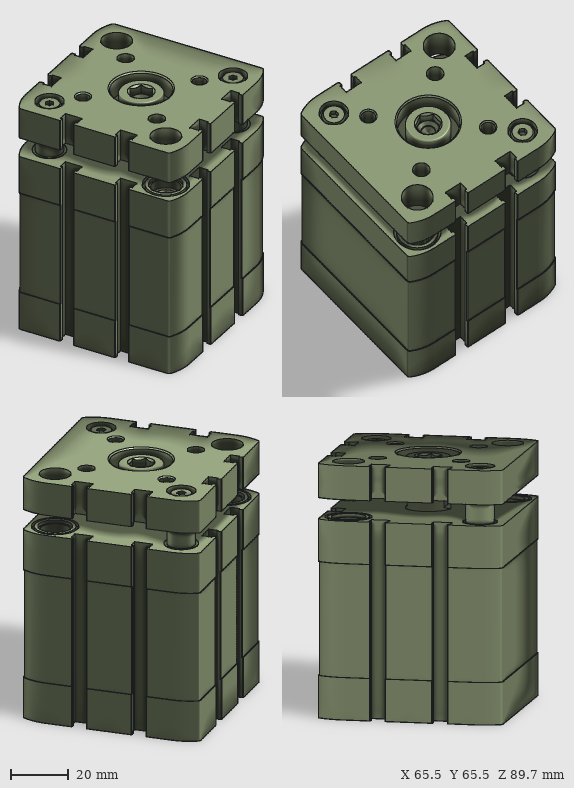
import cadquery as cq
import math

height = 89.7
plate_thickness = 12.0
housing_height = 70.15
cap_height = 15.0
plate_bottom = height - plate_thickness

side = 65.5
flat_half = 23.3
flank_radius = 17.9
corner_radius = 1.35
middle_corner_radius = 0.8
middle_inset = 0.31

slot_offset = 11.0
slot_mouth = 5.2
slot_width = 6.6
slot_depth = 5.0
lip_depth = 1.6
lip_chamfer = 0.3

corner_offset = 23.3
guide_diameter = 10.0
guide_seal_diameter = 12.0
guide_seal_depth = 0.2
access_diameter = 11.0
screw_recess_diameter = 10.2
screw_recess_depth = 2.7
screw_head_diameter = 8.5
screw_head_drop = 0.8
screw_head_top_diameter = 7.4
screw_head_taper = 0.9
screw_hex_diameter = 3.2
screw_hex_depth = 2.2
mount_diameter = 6.6
mount_countersink = 7.9
mount_step_diameter = 12.0
mount_step_depth = 1.2
mount_recess_diameter = 10.6
mount_recess_depth = 4.7
mount_groove_outer = 16.4
mount_groove_inner = 14.5
mount_groove_depth = 1.35

fixing_offset = 14.8
fixing_diameter = 6.0
thread_diameter = 5.0

rod_diameter = 16.0
rod_drop = 1.2
rod_fillet = 0.9
rod_insertion = cap_height
flats_width = 13.0
flats_bottom = 71.2
runout_height = 0.9
plate_recess_diameter = 22.0
plate_recess_depth = 7.4
plate_recess_chamfer = 0.5
socket_mouth = 9.6
socket_flats = 8.0
socket_depth = 3.6
drill_diameter = 5.0
drill_depth = 0.45
drill_angle = 30.0
drill_slope = math.tan(math.radians(drill_angle))

rod_top = height - rod_drop
rods_bottom = housing_height - rod_insertion

guide_places = [(corner_offset, corner_offset), (-corner_offset, -corner_offset)]
mount_places = [(-corner_offset, corner_offset), (corner_offset, -corner_offset)]
thread_places = [(fixing_offset, fixing_offset), (-fixing_offset, -fixing_offset)]
dowel_places = [(-fixing_offset, fixing_offset), (fixing_offset, -fixing_offset)]


def cylinder(diameter, bottom, top, places=((0, 0),)):
    """Upright cylinders between two heights."""
    base = cq.Workplane("XY", origin=(0, 0, bottom))
    return base.pushPoints(list(places)).circle(diameter / 2).extrude(top - bottom)


def cone(lower_diameter, upper_diameter, bottom, top, place=(0, 0)):
    """Upright cone or cone frustum between two heights."""
    axis = cq.Vector(0, 0, 1)
    foot = cq.Vector(place[0], place[1], bottom)
    solid = cq.Solid.makeCone(lower_diameter / 2, upper_diameter / 2, top - bottom, foot, axis)
    return cq.Workplane(solid)


def section_block(bottom, top, inset=0.0, edge_radius=corner_radius):
    """Square block with arc-shaped flanks at its four corners."""
    half = side / 2 - inset
    arc_centre_x = half - flank_radius
    arc_rise = half - flat_half
    arc_end_x = arc_centre_x + math.sqrt(flank_radius**2 - arc_rise**2)
    mid_angle = math.asin(arc_rise / flank_radius) / 2
    arc_mid_x = arc_centre_x + flank_radius * math.cos(mid_angle)
    arc_mid_y = flat_half + flank_radius * math.sin(mid_angle)
    outline = (
        cq.Workplane("XY", origin=(0, 0, bottom))
        .moveTo(half, -flat_half)
        .lineTo(half, flat_half)
        .threePointArc((arc_mid_x, arc_mid_y), (arc_end_x, half))
        .lineTo(-arc_end_x, half)
        .threePointArc((-arc_mid_x, arc_mid_y), (-half, flat_half))
        .lineTo(-half, -flat_half)
        .threePointArc((-arc_mid_x, -arc_mid_y), (-arc_end_x, -half))
        .lineTo(arc_end_x, -half)
        .threePointArc((arc_mid_x, -arc_mid_y), (half, -flat_half))
        .close()
    )
    block = outline.extrude(top - bottom)
    return block.edges("|Z").edges(">Y or <Y").fillet(edge_radius)


def t_slots(bottom, top, inset=0.0):
    """Pairs of T-slots on the -Y, -X and +X sides, with chamfers at the inset face."""
    face = -side / 2 + inset
    neck = -side / 2 + lip_depth
    floor = -side / 2 + slot_depth
    mouth = slot_mouth / 2
    wide = slot_width / 2
    flared = mouth + lip_chamfer
    profile = [
        (-flared, face), (-mouth, face + lip_chamfer), (-mouth, neck), (-wide, neck), (-wide, floor),
        (wide, floor), (wide, neck), (mouth, neck), (mouth, face + lip_chamfer), (flared, face),
    ]
    slot = cq.Workplane("XY", origin=(0, 0, bottom)).polyline(profile).close().extrude(top - bottom)
    pair = slot.translate((slot_offset, 0, 0)).union(slot.translate((-slot_offset, 0, 0)))
    slots = pair
    for angle in (-90, 90):
        slots = slots.union(pair.rotate((0, 0, 0), (0, 0, 1), angle))
    return slots


def mount_hole(place):
    """Cutter for a through hole with countersink, stepped recess and ring groove."""
    floor = housing_height - mount_recess_depth
    countersink_bottom = floor - (mount_countersink - mount_diameter) / 2
    groove_bottom = housing_height - mount_groove_depth
    groove = cylinder(mount_groove_outer, groove_bottom, housing_height, [place]).cut(
        cylinder(mount_groove_inner, groove_bottom, housing_height, [place])
    )
    return (
        cylinder(mount_diameter, 0, housing_height, [place])
        .union(cone(mount_diameter, mount_countersink, countersink_bottom, floor, place))
        .union(cylinder(mount_recess_diameter, floor, housing_height, [place]))
        .union(cylinder(mount_step_diameter, housing_height - mount_step_depth, housing_height, [place]))
        .union(groove)
    )


def make_housing():
    """Cylinder housing with bores that fit the piston rod and the guide rods."""
    middle_top = housing_height - cap_height
    lower_cap = section_block(0, cap_height).cut(t_slots(0, cap_height))
    middle = section_block(cap_height, middle_top, middle_inset, middle_corner_radius)
    middle = middle.cut(t_slots(cap_height, middle_top, middle_inset))
    upper_cap = section_block(middle_top, housing_height).cut(t_slots(middle_top, housing_height))
    body = (
        lower_cap.union(middle)
        .union(upper_cap)
        .cut(cylinder(rod_diameter, rods_bottom, housing_height))
        .cut(cylinder(guide_diameter, rods_bottom, housing_height, guide_places))
    )
    seal_floor = housing_height - guide_seal_depth
    body = body.cut(cylinder(guide_seal_diameter, seal_floor, housing_height, guide_places))
    for place in mount_places:
        body = body.cut(mount_hole(place))
    return body


def rod_flats():
    """Cutters for the two wrench flats, each with a sloping lower end."""
    flat = flats_width / 2
    edge = rod_diameter / 2
    near = (
        cq.Workplane("YZ")
        .polyline([
            (-flat, plate_bottom), (-flat, flats_bottom),
            (-edge, flats_bottom - runout_height), (-edge, plate_bottom),
        ])
        .close()
        .extrude(edge, both=True)
    )
    return near.union(near.mirror("XZ"))


def rod_socket():
    """Cutter for the hexagon socket in the rod end with its drilled bottom."""
    corner_diameter = socket_flats / math.cos(math.pi / 6)
    floor = rod_top - socket_depth
    hexagon = cq.Workplane("XY", origin=(0, 0, floor)).polygon(6, corner_diameter).extrude(socket_depth)
    mouth_depth = (socket_mouth - socket_flats) / 2
    mouth = cone(socket_flats, socket_mouth, rod_top - mouth_depth, rod_top)
    drill_top = floor - drill_slope * (socket_flats - drill_diameter) / 2
    drill_bottom = drill_top - drill_depth
    tip = drill_bottom - drill_slope * drill_diameter / 2
    return (
        hexagon.union(mouth)
        .union(cone(drill_diameter, socket_flats, drill_top, floor))
        .union(cylinder(drill_diameter, drill_bottom, drill_top))
        .union(cone(0, drill_diameter, tip, drill_bottom))
    )


def threaded_hole(place):
    """Cutter for a through hole in the plate with a countersunk mouth."""
    countersink_bottom = height - (fixing_diameter - thread_diameter) / 2
    hole = cylinder(thread_diameter, plate_bottom, height, [place])
    return hole.union(cone(thread_diameter, fixing_diameter, countersink_bottom, height, place))


def guide_screws():
    """Screw heads that stand in the plate recesses above the guide rods."""
    head_top = height - screw_head_drop
    taper_bottom = head_top - screw_head_taper
    heads = cylinder(screw_head_diameter, height - screw_recess_depth, taper_bottom, guide_places)
    for place in guide_places:
        taper = cone(screw_head_diameter, screw_head_top_diameter, taper_bottom, head_top, place)
        heads = heads.union(taper)
    hexagons = (
        cq.Workplane("XY", origin=(0, 0, head_top))
        .pushPoints(guide_places)
        .polygon(6, screw_hex_diameter)
        .extrude(-screw_hex_depth)
    )
    return heads.cut(hexagons)


def make_plate():
    """Front plate without its rods."""
    recess_floor = height - plate_recess_depth
    recess_mouth = plate_recess_diameter + 2 * plate_recess_chamfer
    plate = (
        section_block(plate_bottom, height)
        .cut(t_slots(plate_bottom, height))
        .cut(cylinder(plate_recess_diameter, recess_floor, height))
        .cut(cone(plate_recess_diameter, recess_mouth, height - plate_recess_chamfer, height))
        .cut(cylinder(access_diameter, plate_bottom, height, mount_places))
        .cut(cylinder(fixing_diameter, plate_bottom, height, dowel_places))
        .cut(cylinder(screw_recess_diameter, height - screw_recess_depth, height, guide_places))
    )
    for place in thread_places:
        plate = plate.cut(threaded_hole(place))
    return plate


def make_slide():
    """Moving body: front plate, piston rod, guide rods and their screw heads."""
    rod = cylinder(rod_diameter, rods_bottom, rod_top).faces(">Z").edges().fillet(rod_fillet)
    rod = rod.cut(rod_flats())
    guides = cylinder(guide_diameter, rods_bottom, plate_bottom, guide_places)
    return make_plate().union(rod).union(guides).union(guide_screws()).cut(rod_socket())


housing = make_housing()
slide = make_slide()

result = cq.Compound.makeCompound([housing.solids().val(), slide.solids().val()])